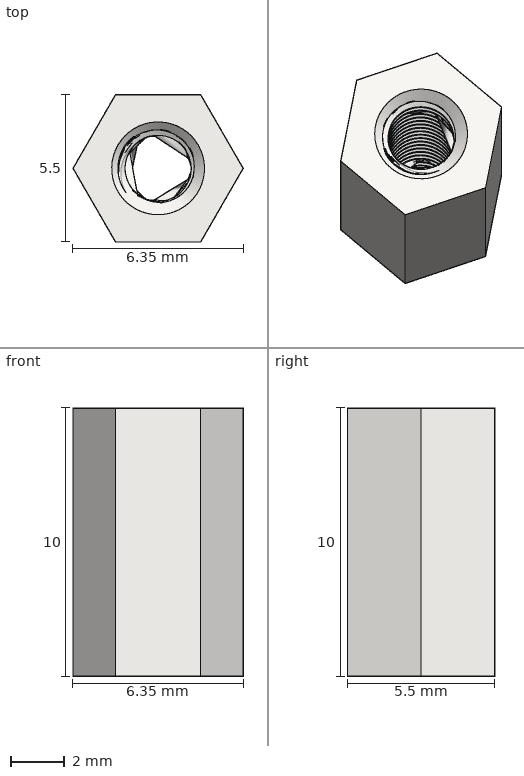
import cadquery as cq
import math

length = 10.0
across_flats = 5.5
countersink_diameter = 3.46

thread_diameter = 3.0
pitch = 0.5

thread_height = pitch * math.sqrt(3) / 2
root_radius = thread_diameter / 2
bore_radius = root_radius - 5 / 8 * thread_height
root_width = pitch / 8
flank_slope = math.tan(math.radians(30))
groove_overlap = 0.03


def hex_body():
    across_corners = across_flats / math.cos(math.radians(30))
    return cq.Workplane("XY").polygon(6, across_corners).extrude(length)


def thread_groove():
    """Trapezoidal groove that climbs a helix and overruns both ends by one pitch.

    The groove is centred on the +X direction at the end planes.
    """
    climb = length + 2 * pitch
    inner_radius = bore_radius - groove_overlap
    half_root = root_width / 2
    half_mouth = half_root + (root_radius - inner_radius) * flank_slope
    corners = [
        (inner_radius, -half_mouth),
        (root_radius, -half_root),
        (root_radius, half_root),
        (inner_radius, half_mouth),
    ]
    edges = [cq.Wire.makeHelix(pitch, climb, radius, cq.Vector(0, 0, z)) for radius, z in corners]
    faces = [cq.Face.makeRuledSurface(edges[i - 1], edges[i]) for i in range(len(edges))]
    for end in (0, climb):
        outline = [cq.Vector(radius, 0, z + end) for radius, z in corners]
        faces.append(cq.Face.makeFromWires(cq.Wire.makePolygon(outline, close=True)))
    groove = cq.Workplane(obj=cq.Solid.makeSolid(cq.Shell.makeShell(faces)))
    return groove.translate((0, 0, -pitch))


def seam_on_y(round_cutter):
    """Turn the seam of a round cutter to +Y, clear of where the groove meets the end planes."""
    return round_cutter.rotate((0, 0, 0), (0, 0, 1), 90)


def bore():
    return seam_on_y(cq.Workplane("XY").circle(bore_radius).extrude(length))


def countersink(end_z, inward):
    """90-degree cone, wide at the end plane and running inward to a point."""
    rim_radius = countersink_diameter / 2
    cone = cq.Solid.makeCone(rim_radius, 0, rim_radius, cq.Vector(0, 0, end_z), cq.Vector(0, 0, inward))
    return seam_on_y(cq.Workplane(obj=cone))


threaded_body = hex_body().cut(thread_groove()).cut(bore())
result = threaded_body.cut(countersink(0, 1)).cut(countersink(length, -1)).solids()